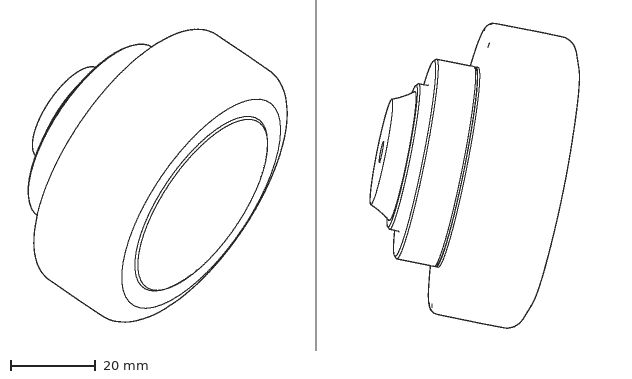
import cadquery as cq
import math

NOSE_END = 5.0
HUB_START = 8.0
HUB_END = 18.0
WHEEL_START = 18.5
WHEEL_END = 41.5
TOTAL_LENGTH = 42.0

NOSE_TIP_DIAMETER = 25.3
NOSE_BASE_DIAMETER = 31.0
NOSE_FLANK_RADIUS = 20.0

COLLAR_DIAMETER = 35.0
HUB_DIAMETER = 48.0
EDGE_CHAMFER = 0.5
COLLAR_ROOT_FILLET = 0.5

WHEEL_DIAMETER = 70.1
CROWN_RADIUS = 500.0
INNER_RIM_FILLET = 2.0
SHOULDER_FILLET = 4.0
SHOULDER_FACE_DIAMETER = 57.5
SHOULDER_ANGLE = 20.0

HOLE_DIAMETER = 4.92
HOLE_DEPTH = 10.0


def disc(start, end, diameter):
    """Cylinder on the X axis between two axial positions."""
    return cq.Workplane("YZ", origin=(start, 0, 0)).circle(diameter / 2).extrude(end - start)


def revolve_about_x(profile):
    """Turn a closed XY profile once around the X axis."""
    return profile.close().revolve(360, (0, 0, 0), (1, 0, 0))


def make_nose():
    """Flared nose whose flank is an arc bowed towards the axis."""
    tip_radius = NOSE_TIP_DIAMETER / 2
    base_radius = NOSE_BASE_DIAMETER / 2
    profile = (
        cq.Workplane("XY")
        .lineTo(0, tip_radius)
        .radiusArc((NOSE_END, base_radius), -NOSE_FLANK_RADIUS)
        .lineTo(NOSE_END, 0)
    )
    return revolve_about_x(profile)


def make_stepped_body():
    """Collar and hub, with a fillet where the collar meets the hub."""
    collar = disc(NOSE_END, HUB_START, COLLAR_DIAMETER).faces("<X").chamfer(EDGE_CHAMFER)
    hub = disc(HUB_START, HUB_END, HUB_DIAMETER).edges("%CIRCLE").chamfer(EDGE_CHAMFER)
    smallest_circle = cq.selectors.RadiusNthSelector(0)
    hub_face = hub.union(collar).faces("<X[1]")
    return hub_face.edges(smallest_circle).fillet(COLLAR_ROOT_FILLET)


def make_core():
    """Core disc that stands slightly proud of both wheel faces."""
    return disc(HUB_END, TOTAL_LENGTH, HUB_DIAMETER).faces(">X").chamfer(EDGE_CHAMFER)


def make_wheel():
    """Wheel with a crowned tread, a rounded rim and a conical shoulder."""
    crown_top = WHEEL_DIAMETER / 2
    shoulder_radius = SHOULDER_FACE_DIAMETER / 2
    shoulder_depth = (crown_top - shoulder_radius) * math.tan(math.radians(SHOULDER_ANGLE))
    tread_end = WHEEL_END - shoulder_depth
    tread_middle = (WHEEL_START + tread_end) / 2
    half_tread = (tread_end - WHEEL_START) / 2
    crown_drop = CROWN_RADIUS - math.sqrt(CROWN_RADIUS**2 - half_tread**2)
    tread_edge_radius = crown_top - crown_drop

    profile = (
        cq.Workplane("XY")
        .moveTo(WHEEL_START, 0)
        .lineTo(WHEEL_START, tread_edge_radius)
        .threePointArc((tread_middle, crown_top), (tread_end, tread_edge_radius))
        .lineTo(WHEEL_END, shoulder_radius)
        .lineTo(WHEEL_END, 0)
    )
    wheel = revolve_about_x(profile)
    wheel = wheel.faces("<X").edges().fillet(INNER_RIM_FILLET)
    return wheel.faces("%CONE").edges("<X").fillet(SHOULDER_FILLET)


roller = make_nose().union(make_stepped_body()).union(make_core()).union(make_wheel())
result = roller.cut(disc(0, HOLE_DEPTH, HOLE_DIAMETER))